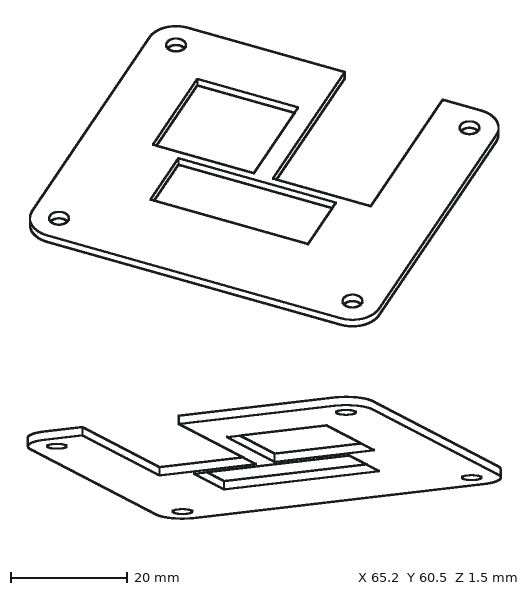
import cadquery as cq

length = 65.25
width = 60.5
thickness = 1.5
corner_radius = 5.0
hole_diameter = 3.4

square_margin = 12.0
square_length = 19.0
square_width = 19.1
slot_margin = 34.6
slot_length = 18.4
slot_depth = 31.0
lower_margin = 17.5
lower_length = 29.6
lower_width = 12.0
web_width = 1.55

left = -length / 2
back = width / 2
slot_end = back - slot_depth


def rectangular_cutter(x_min, y_min, size_x, size_y):
    """Box through the full plate thickness, placed by its left front corner."""
    return cq.Workplane("XY").box(size_x, size_y, thickness, centered=False).translate((x_min, y_min, 0))


plate = (
    cq.Workplane("XY")
    .box(length, width, thickness, centered=(True, True, False))
    .edges("|Z")
    .fillet(corner_radius)
    .faces(">Z")
    .workplane()
    .rect(length - 2 * corner_radius, width - 2 * corner_radius, forConstruction=True)
    .vertices()
    .hole(hole_diameter)
)

square_window = rectangular_cutter(left + square_margin, slot_end, square_length, square_width)
open_slot = rectangular_cutter(left + slot_margin, slot_end, slot_length, slot_depth)
lower_window = rectangular_cutter(
    left + lower_margin, slot_end - web_width - lower_width, lower_length, lower_width
)

result = plate.cut(square_window).cut(open_slot).cut(lower_window)